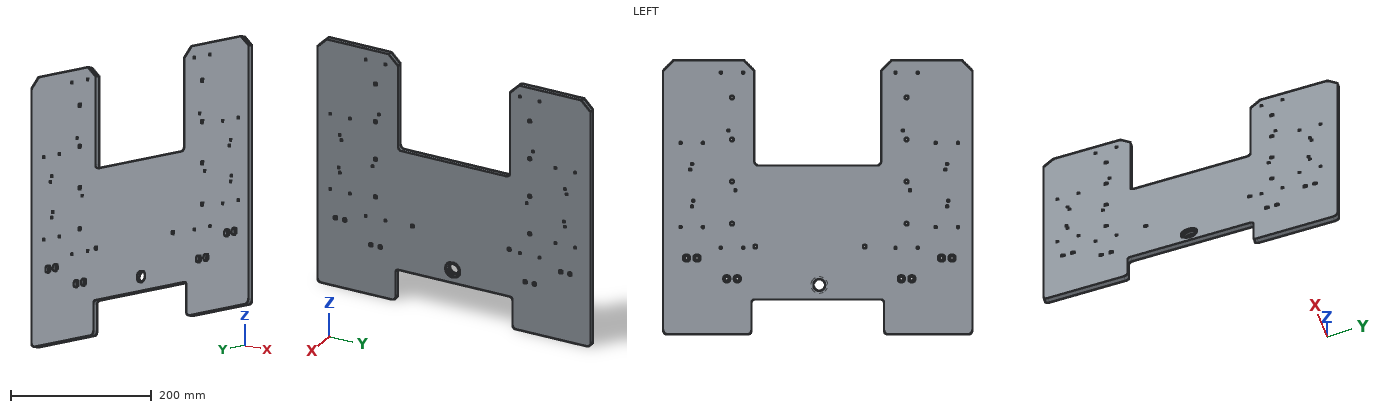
import cadquery as cq

width = 440.0
height = 390.0
thickness = 8.0

corner_chamfer = 15.0
top_notch_width = 180.0
top_notch_depth = 149.5
top_notch_fillet = 6.0
bottom_notch_width = 188.5
bottom_notch_depth = 49.5
bottom_notch_fillet = 5.0
outer_foot_fillet = 6.5
inner_foot_fillet = 5.5

small_hole = 2.5
medium_hole = 5.0
centre_hole = 16.5
centre_recess = 23.8
bolt_hole = 5.5
bolt_counterbore = 10.0
counterbore_depth = 5.5
centre_recess_depth = 2.5

layout_centre_y = -2.0
inner_group_offset = 124.0
outer_group_offset = 181.5
inner_group_centres = [layout_centre_y + side * inner_group_offset for side in (1, -1)]
outer_group_centres = [layout_centre_y + side * outer_group_offset for side in (1, -1)]
pair_half_spacing = 16.0
bolt_half_spacing = 7.5

inner_pair_heights = (123.0, 372.2)
rail_first_z = 157.5
rail_pitch = 60.0
rail_count = 4
inner_stray_holes = [(5.5, 290.0), (-5.0, 205.0)]
inner_bolt_z = 79.0

outer_pair_heights = (152.5, 272.5)
outer_stray_holes = [(-0.5, 242.5), (2.0, 234.5), (-2.0, 190.0), (-0.5, 182.0)]
outer_bolt_z = 108.5

medium_hole_ys = (89.0, -67.0)
medium_hole_z = 125.0
centre_hole_z = 70.5


def box_between(y_min, y_max, z_min, z_max):
    """Block of plate thickness spanning the given Y and Z ranges."""
    block = cq.Workplane("XY").box(thickness, y_max - y_min, z_max - z_min, centered=False)
    return block.translate((0, y_min, z_min))


def edges_at(half_y, z):
    """Selector for the mirrored pair of through-thickness edges at +/-half_y and z."""
    reach = 0.5
    boxes = [
        cq.selectors.BoxSelector(
            (-reach, y - reach, z - reach),
            (thickness + reach, y + reach, z + reach),
        )
        for y in (half_y, -half_y)
    ]
    return boxes[0] + boxes[1]


def make_plate():
    """H-shaped plate with chamfered top corners and rounded notch and foot corners."""
    half_top = top_notch_width / 2
    half_bottom = bottom_notch_width / 2
    notch_floor = height - top_notch_depth
    plate = box_between(-width / 2, width / 2, 0, height)
    plate = plate.cut(box_between(-half_top, half_top, notch_floor, height))
    plate = plate.cut(box_between(-half_bottom, half_bottom, 0, bottom_notch_depth))

    for half_y in (width / 2, half_top):
        plate = plate.edges("|X").edges(edges_at(half_y, height)).chamfer(corner_chamfer)

    rounded_corners = [
        (half_top, notch_floor, top_notch_fillet),
        (half_bottom, bottom_notch_depth, bottom_notch_fillet),
        (width / 2, 0, outer_foot_fillet),
        (half_bottom, 0, inner_foot_fillet),
    ]
    for half_y, z, radius in rounded_corners:
        plate = plate.edges("|X").edges(edges_at(half_y, z)).fillet(radius)
    return plate


def cylinders(points, diameter, depth=thickness, start_x=0):
    """Cutters at (Y, Z) points, running along +X from start_x for the given depth."""
    return cq.Workplane("YZ", origin=(start_x, 0, 0)).pushPoints(points).circle(diameter / 2).extrude(depth)


def pair_points(centre_y, half_spacing, z):
    """Two points spaced evenly about centre_y at height z."""
    return [(centre_y - half_spacing, z), (centre_y + half_spacing, z)]


small_points = []
medium_points = [(y, medium_hole_z) for y in medium_hole_ys]
centre_point = [(layout_centre_y, centre_hole_z)]
bolt_points = []

for centre_y in inner_group_centres:
    for z in inner_pair_heights:
        small_points += pair_points(centre_y, pair_half_spacing, z)
    small_points += [(centre_y + dy, z) for dy, z in inner_stray_holes]
    medium_points += [(centre_y, rail_first_z + i * rail_pitch) for i in range(rail_count)]
    bolt_points += pair_points(centre_y, bolt_half_spacing, inner_bolt_z)

for centre_y in outer_group_centres:
    for z in outer_pair_heights:
        small_points += pair_points(centre_y, pair_half_spacing, z)
    small_points += [(centre_y + dy, z) for dy, z in outer_stray_holes]
    bolt_points += pair_points(centre_y, bolt_half_spacing, outer_bolt_z)

result = (
    make_plate()
    .cut(cylinders(small_points, small_hole))
    .cut(cylinders(medium_points, medium_hole))
    .cut(cylinders(centre_point, centre_hole))
    .cut(cylinders(centre_point, centre_recess, centre_recess_depth, thickness - centre_recess_depth))
    .cut(cylinders(bolt_points, bolt_hole))
    .cut(cylinders(bolt_points, bolt_counterbore, counterbore_depth))
)